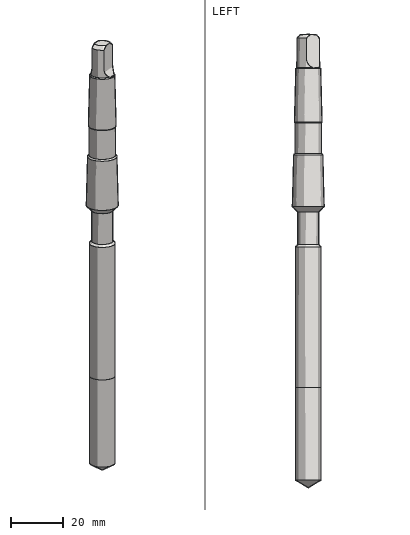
import cadquery as cq
import math

TOTAL_LENGTH = 171.5
SPLIT_Z = 37.9

BODY_RADIUS = 9.8 / 2
POINT_ANGLE = 118.0
POINT_LENGTH = BODY_RADIUS / math.tan(math.radians(POINT_ANGLE / 2))
BODY_TOP_Z = 91.9

NECK_RADIUS = 8.0 / 2

TAPER_BOTTOM_Z = 106.3
TAPER_TOP_Z = 158.5
TAPER_BOTTOM_RADIUS = 12.2 / 2
TAPER_RATE = 0.025
RELIEF_BOTTOM_Z = 125.8
RELIEF_TOP_Z = 138.2
RELIEF_RADIUS = 10.1 / 2

TANG_RADIUS = 8.7 / 2
TANG_CHAMFER_WIDTH = 1.4
TANG_CHAMFER_HEIGHT = 1.4
DOME_HEIGHT = 0.2
FLAT_HALF_WIDTH = 2.5
FLAT_BOTTOM_Z = 162.4
RUNOUT_RADIUS = 5.0
FLAT_ANGLE = 45.0


def taper_radius(z):
    return TAPER_BOTTOM_RADIUS - TAPER_RATE * (z - TAPER_BOTTOM_Z)


def make_tip():
    """Straight cylindrical end with its conical point."""
    return (
        cq.Workplane("XZ")
        .moveTo(0, 0)
        .lineTo(BODY_RADIUS, POINT_LENGTH)
        .lineTo(BODY_RADIUS, SPLIT_Z)
        .lineTo(0, SPLIT_Z)
        .close()
        .revolve(360, (0, 0, 0), (0, 1, 0))
    )


def make_turned_shank():
    """Upper body as a turned blank, before the tang flats."""
    lower_seat_radius = taper_radius(RELIEF_BOTTOM_Z)
    upper_seat_radius = taper_radius(RELIEF_TOP_Z)
    taper_top_radius = taper_radius(TAPER_TOP_Z)
    tang_end_radius = TANG_RADIUS - TANG_CHAMFER_WIDTH
    dome_edge_z = TOTAL_LENGTH - DOME_HEIGHT
    dome_radius = (tang_end_radius**2 + DOME_HEIGHT**2) / (2 * DOME_HEIGHT)
    dome_mid_radius = tang_end_radius / 2
    dome_mid_z = TOTAL_LENGTH - dome_radius + math.sqrt(dome_radius**2 - dome_mid_radius**2)

    return (
        cq.Workplane("XZ")
        .moveTo(0, SPLIT_Z)
        .lineTo(BODY_RADIUS, SPLIT_Z)
        .lineTo(BODY_RADIUS, BODY_TOP_Z - (BODY_RADIUS - NECK_RADIUS))
        .lineTo(NECK_RADIUS, BODY_TOP_Z)
        .lineTo(NECK_RADIUS, TAPER_BOTTOM_Z - (TAPER_BOTTOM_RADIUS - NECK_RADIUS))
        .lineTo(TAPER_BOTTOM_RADIUS, TAPER_BOTTOM_Z)
        .lineTo(lower_seat_radius, RELIEF_BOTTOM_Z)
        .lineTo(RELIEF_RADIUS, RELIEF_BOTTOM_Z + lower_seat_radius - RELIEF_RADIUS)
        .lineTo(RELIEF_RADIUS, RELIEF_TOP_Z - (upper_seat_radius - RELIEF_RADIUS))
        .lineTo(upper_seat_radius, RELIEF_TOP_Z)
        .lineTo(taper_top_radius, TAPER_TOP_Z)
        .lineTo(TANG_RADIUS, TAPER_TOP_Z + taper_top_radius - TANG_RADIUS)
        .lineTo(TANG_RADIUS, dome_edge_z - TANG_CHAMFER_HEIGHT)
        .lineTo(tang_end_radius, dome_edge_z)
        .threePointArc((dome_mid_radius, dome_mid_z), (0, TOTAL_LENGTH))
        .close()
        .revolve(360, (0, 0, 0), (0, 1, 0))
    )


def make_flat_cutter():
    """Material removed by one flat: a plane that runs out along an arc at its lower end."""
    depth = TANG_RADIUS - FLAT_HALF_WIDTH
    runout_height = math.sqrt(RUNOUT_RADIUS**2 - (RUNOUT_RADIUS - depth) ** 2)
    half_sweep = math.acos((RUNOUT_RADIUS - depth) / RUNOUT_RADIUS) / 2
    arc_middle = (
        FLAT_HALF_WIDTH + RUNOUT_RADIUS * (1 - math.cos(half_sweep)),
        FLAT_BOTTOM_Z - RUNOUT_RADIUS * math.sin(half_sweep),
    )
    return (
        cq.Workplane("XZ")
        .moveTo(FLAT_HALF_WIDTH, TOTAL_LENGTH)
        .lineTo(FLAT_HALF_WIDTH, FLAT_BOTTOM_Z)
        .threePointArc(arc_middle, (TANG_RADIUS, FLAT_BOTTOM_Z - runout_height))
        .lineTo(TANG_RADIUS, TOTAL_LENGTH)
        .close()
        .extrude(TANG_RADIUS, both=True)
    )


def make_shank():
    """Upper body with two opposite flats on its tang."""
    shank = make_turned_shank()
    for half_turn in (0, 180):
        shank = shank.cut(make_flat_cutter().rotate((0, 0, 0), (0, 0, 1), FLAT_ANGLE + half_turn))
    return shank


tip = make_tip()
shank = make_shank()

result = cq.Compound.makeCompound([tip.val(), *shank.solids().vals()])